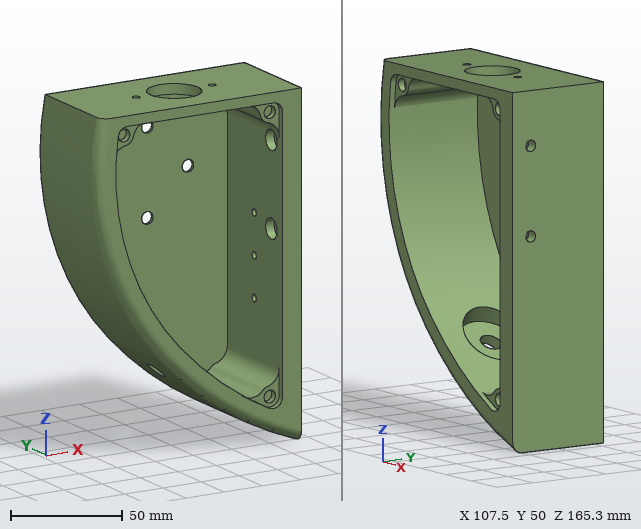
import cadquery as cq
import math

HEIGHT = 165.3
DEPTH = 50.0
SIDE_WALL = 10.0
TOP_WALL = 5.0
FLOOR = 1.5
FRONT_ROUND = 5.0

WIDTH = 107.5
WIDEST_Z = -26.8
UPPER_RADIUS = 135.2
UPPER_END_ANGLE = 42.9
UPPER_CENTER = (UPPER_RADIUS - WIDTH, WIDEST_Z)

end_angle = math.radians(UPPER_END_ANGLE)
arc_normal = (-math.cos(end_angle), -math.sin(end_angle))
join_x = UPPER_CENTER[0] + UPPER_RADIUS * arc_normal[0]
join_z = UPPER_CENTER[1] + UPPER_RADIUS * arc_normal[1]
tip_dx = -join_x
tip_dz = -HEIGHT - join_z
LOWER_RADIUS = -(tip_dx**2 + tip_dz**2) / (2 * (tip_dx * arc_normal[0] + tip_dz * arc_normal[1]))
LOWER_CENTER = (join_x - LOWER_RADIUS * arc_normal[0], join_z - LOWER_RADIUS * arc_normal[1])

LID_RECESS = 3.0
POST_RADIUS = 5.0
POST_BLEND = 8.0
WALL_OVERLAP = 1.7
POST_HOLE_DIAMETER = 6.0
POST_HOLE_DEPTH = 3.3

HOLE_RUNOUT = 1.7

HOLES_X = -51.9
FLOOR_HOLE_DIAMETER = 6.0
FLOOR_HOLE_CIRCLE_RADIUS = 21.3
FLOOR_HOLES_Z = -43.6
MID_DEPTH = DEPTH / 2
TOP_OPENING_DIAMETER = 25.0
TOP_SCREW_DIAMETER = 3.5
TOP_SCREW_OFFSET = 20.0

MOUNT_Y = 10.0
MOUNT_Z = (-25.3, -66.8)
MOUNT_DIAMETER = 5.1
MOUNT_HEAD_DIAMETER = 10.0
MOUNT_HEAD_DEPTH = 4.5
PILOT_DIAMETER = 3.5
PILOT_Z = -82.8
PILOT_PITCH = 20.0
PILOT_DEPTH = 2.0

CABLE_DIAMETER = 10.0
CABLE_SEAT_DIAMETER = 30.0
CABLE_SEAT_CENTER = (-56.9, 27.6, -125.1)
CABLE_SLOPE = 60.0
CABLE_SEAT_CUT = 10.0


def front_plane(y):
    """Workplane at depth y whose local axes are X and Z; extruding by -d goes deeper."""
    return cq.Workplane("XZ", origin=(0, y, 0))


def upper_arc_x(z, inset):
    """X of the upper arc, moved inward by the inset, at height z."""
    return UPPER_CENTER[0] - math.sqrt((UPPER_RADIUS - inset)**2 - (z - UPPER_CENTER[1])**2)


def lower_arc_z(x, inset):
    """Z of the lower arc, moved inward by the inset, at position x."""
    return LOWER_CENTER[1] - math.sqrt((LOWER_RADIUS - inset)**2 - (x - LOWER_CENTER[0])**2)


def outline(y, top_wall, side_wall):
    """Side profile at depth y, moved inward by the wall thicknesses."""
    top = -top_wall
    right = -side_wall
    upper_start = (upper_arc_x(top, side_wall), top)
    upper_middle = (UPPER_CENTER[0] - UPPER_RADIUS + side_wall, WIDEST_Z)
    join = (join_x - side_wall * arc_normal[0], join_z - side_wall * arc_normal[1])
    middle_x = (join[0] + right) / 2
    lower_middle = (middle_x, lower_arc_z(middle_x, side_wall))
    lower_end = (right, lower_arc_z(right, side_wall))
    return (front_plane(y).moveTo(right, top).lineTo(*upper_start)
            .threePointArc(upper_middle, join).threePointArc(lower_middle, lower_end).close())


def make_shell():
    shell = outline(0, 0, 0).extrude(-DEPTH)
    return shell.faces("<Y").edges("%CIRCLE").fillet(FRONT_ROUND)


def make_cavity():
    cavity = outline(0, TOP_WALL, SIDE_WALL).extrude(FLOOR - DEPTH)
    corners = cavity.faces(">Z or >X").edges("|Y")
    return cavity.newObject(corners.vals()).fillet(POST_RADIUS)


def make_post(center, first_wall, second_wall):
    """Round post in a corner, blended into two walls.

    Each wall is given by its direction in degrees, leading away from the corner;
    the first wall lies to the left of its direction, the second to the right.
    """
    post_to_blend = math.sqrt(4 * POST_RADIUS * POST_BLEND)
    height = DEPTH - LID_RECESS
    plane = front_plane(LID_RECESS)

    def place(angle, along, outward, side):
        """Point measured along a wall from the post and outward toward that wall."""
        a = math.radians(angle)
        out = a + side * math.pi / 2
        return (center[0] + along * math.cos(a) + outward * math.cos(out),
                center[1] + along * math.sin(a) + outward * math.sin(out))

    post = plane.center(*center).circle(POST_RADIUS).extrude(-height)
    walls = ((first_wall, 1), (second_wall, -1))
    for angle, side in walls:
        blend_center = place(angle, post_to_blend, POST_RADIUS - POST_BLEND, side)
        web = plane.polyline([
            center,
            blend_center,
            place(angle, post_to_blend, POST_RADIUS + WALL_OVERLAP, side),
            place(angle, 0, POST_RADIUS + WALL_OVERLAP, side),
        ]).close().extrude(-height)
        blend = plane.center(*blend_center).circle(POST_BLEND).extrude(-height)
        post = post.union(web.cut(blend))
    return post


def post_layout():
    """Center of each post and the directions of its two walls."""
    inset = SIDE_WALL + POST_RADIUS
    right = -inset
    top = -TOP_WALL - POST_RADIUS
    left = upper_arc_x(top, inset)
    bottom = lower_arc_z(right, inset)

    reach = math.sqrt(4 * POST_RADIUS * POST_BLEND)
    normal = math.degrees(math.atan2(top - WIDEST_Z, left - UPPER_CENTER[0]))
    bend = math.degrees(reach / (2 * UPPER_RADIUS))
    curve_down = normal + 90 + bend
    normal = math.degrees(math.atan2(bottom - LOWER_CENTER[1], right - LOWER_CENTER[0]))
    bend = math.degrees(reach / (2 * LOWER_RADIUS))
    curve_up = normal - 90 - bend
    return [
        ((right, top), 270.0, 180.0),
        ((left, top), 0.0, curve_down),
        ((right, bottom), curve_up, 90.0),
    ]


def hole_down(x, diameter):
    """Vertical hole through the top wall."""
    return (cq.Workplane("XY", origin=(x, MID_DEPTH, -TOP_WALL - HOLE_RUNOUT))
            .circle(diameter / 2).extrude(TOP_WALL + 2 * HOLE_RUNOUT))


def hole_right(z, y, diameter, depth):
    """Hole into the right wall, drilled from inside the case."""
    start = -SIDE_WALL - HOLE_RUNOUT
    return (cq.Workplane("YZ", origin=(start, y, z))
            .circle(diameter / 2).extrude(depth + HOLE_RUNOUT))


def make_cable_hole():
    slope = math.radians(CABLE_SLOPE)
    inward = cq.Vector(math.cos(slope), 0, math.sin(slope))
    plane = cq.Plane(origin=CABLE_SEAT_CENTER, xDir=(0, 1, 0), normal=inward.toTuple())
    seat = cq.Workplane(plane).circle(CABLE_SEAT_DIAMETER / 2).extrude(CABLE_SEAT_CUT)
    hole = cq.Workplane(plane).circle(CABLE_DIAMETER / 2).extrude(-2 * SIDE_WALL)
    return seat.union(hole)


shell = make_shell()
case = shell.cut(make_cavity())
for center, first_wall, second_wall in post_layout():
    case = case.union(make_post(center, first_wall, second_wall).intersect(shell))
    case = case.cut(front_plane(LID_RECESS).center(*center)
                    .circle(POST_HOLE_DIAMETER / 2).extrude(-POST_HOLE_DEPTH))

case = case.cut(front_plane(DEPTH - FLOOR - HOLE_RUNOUT).center(HOLES_X, FLOOR_HOLES_Z)
                .polarArray(FLOOR_HOLE_CIRCLE_RADIUS, 0, 360, 4)
                .circle(FLOOR_HOLE_DIAMETER / 2).extrude(-FLOOR - 2 * HOLE_RUNOUT))

case = case.cut(hole_down(HOLES_X, TOP_OPENING_DIAMETER))
for offset in (-TOP_SCREW_OFFSET, TOP_SCREW_OFFSET):
    case = case.cut(hole_down(HOLES_X + offset, TOP_SCREW_DIAMETER))

for z in MOUNT_Z:
    case = case.cut(hole_right(z, MOUNT_Y, MOUNT_DIAMETER, SIDE_WALL + HOLE_RUNOUT))
    case = case.cut(hole_right(z, MOUNT_Y, MOUNT_HEAD_DIAMETER, MOUNT_HEAD_DEPTH))
for step in (-1, 0, 1):
    z = PILOT_Z + step * PILOT_PITCH
    case = case.cut(hole_right(z, MID_DEPTH, PILOT_DIAMETER, PILOT_DEPTH))

result = case.cut(make_cable_hole())